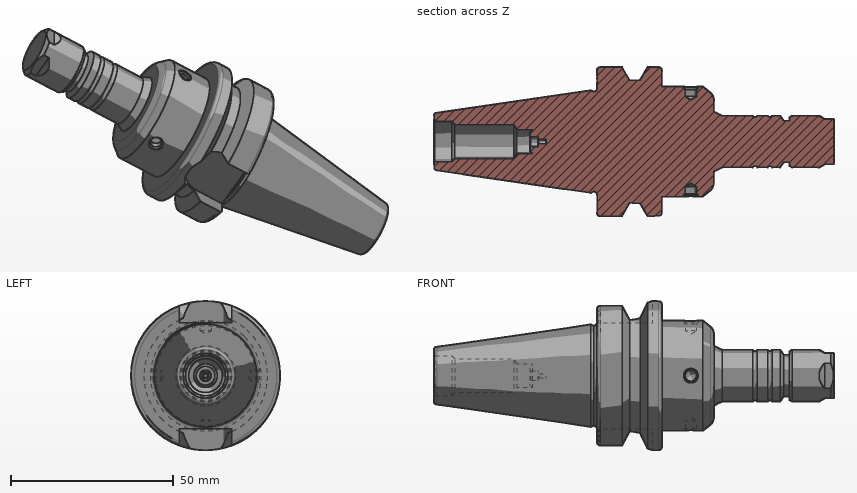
import cadquery as cq
import math

LENGTH = 123.4

TAPER_LENGTH = 48.4
TAPER_LARGE_RADIUS = 31.7 / 2
TAPER_RATE = 7 / 48
TAPER_SMALL_RADIUS = TAPER_LARGE_RADIUS - TAPER_RATE * TAPER_LENGTH
TAPER_END_ROUND = 0.9
TAPER_END_ARC_RADIUS = 1.0
RELIEF_START = 49.2
RELIEF_RADIUS = 15.4
RELIEF_FILLET = 0.9

FLANGE_START = 50.2
FLANGE_END = 70.3
FLANGE_RADIUS = 46.0 / 2
FLANGE_ROUND = 1.1
GROOVE_CENTER = 62.0
GROOVE_FLOOR_WIDTH = 3.2
GROOVE_FLOOR_RADIUS = 19.0
GROOVE_FLARE = (FLANGE_RADIUS - GROOVE_FLOOR_RADIUS) * math.tan(math.radians(30))

SLOT_COUNT = 2
SLOT_WIDTH = 16.2
SLOT_END = 67.4
SLOT_FLOOR = 16.3

BODY_RADIUS = 17.0
BODY_END = 86.4
BODY_CONE_START = 82.9
BODY_CONE_LENGTH = 2.2
BODY_CONE_ANGLE = math.radians(39)

SCREW_HOLE_X = 79.2
SCREW_HOLE_COUNT = 4
SCREW_HOLE_DIAMETER = 3.5
SCREW_HOLE_MOUTH = 4.5
SCREW_MOUTH_DEPTH = 0.5
SCREW_HOLE_DEPTH = 3.1
DRILL_POINT_SLOPE = math.tan(math.radians(31))

SHANK_RADIUS = 8.0
SHANK_CONE_RADIUS = 9.3
SHANK_CONE_END = 88.8
SHANK_END = 106.7
RING_GROOVES = ((98.2, 99.7), (102.9, 104.3))
RING_GROOVE_DEPTH = 0.4

RECESS_RADIUS = 13.0 / 2
RECESS_START = 107.9
RECESS_END = 109.6

NUT_EDGE_RADIUS = 7.5
NUT_START = 110.5
NUT_CHAMFER_LENGTH = 1.1
NUT_FACE_RADIUS = 6.8
FLAT_COUNT = 4
FLAT_DISTANCE = 7.0
FLAT_START = 120.5
FLAT_RUNOUT = 1.7

MOUTH_RADIUS = 6.9
LEAD_RADIUS = 6.2
MOUTH_CHAMFER_DEPTH = 0.4
LEAD_DEPTH = 5.5
THREAD_RADIUS = 10.4 / 2
THREAD_DEPTH = 24.7
CORE_RADIUS = 7.3 / 2
PLUG_DEPTH = 29.6
PLUG_FACE_RADIUS = 5.8 / 2
SOCKET_MOUTH_RADIUS = 3.5 / 2
SOCKET_RADIUS = 3.0 / 2
SOCKET_DEPTH = 2.5
PILOT_MOUTH_RADIUS = 1.7 / 2
PILOT_RADIUS = 1.2 / 2
PILOT_DEPTH = 4.9


def revolve_about_x(profile):
    return profile.close().revolve(360, (0, 0, 0), (1, 0, 0))


def turned_body():
    taper_round_radius = TAPER_SMALL_RADIUS + TAPER_RATE * TAPER_END_ROUND
    groove_floor_start = GROOVE_CENTER - GROOVE_FLOOR_WIDTH / 2
    groove_floor_end = GROOVE_CENTER + GROOVE_FLOOR_WIDTH / 2
    body_cone_end = BODY_CONE_START + BODY_CONE_LENGTH
    body_cone_radius = BODY_RADIUS - BODY_CONE_LENGTH * math.tan(BODY_CONE_ANGLE)
    body_round = (BODY_END - body_cone_end) / (1 - math.sin(BODY_CONE_ANGLE))
    body_face_radius = body_cone_radius - body_round * math.cos(BODY_CONE_ANGLE)

    profile = (
        cq.Workplane("XY")
        .moveTo(0, 0)
        .lineTo(0, TAPER_SMALL_RADIUS - TAPER_END_ROUND)
        .radiusArc((TAPER_END_ROUND, taper_round_radius), TAPER_END_ARC_RADIUS)
        .lineTo(TAPER_LENGTH, TAPER_LARGE_RADIUS)
        .lineTo(RELIEF_START, RELIEF_RADIUS)
        .lineTo(FLANGE_START - RELIEF_FILLET, RELIEF_RADIUS)
        .radiusArc((FLANGE_START, RELIEF_RADIUS + RELIEF_FILLET), -RELIEF_FILLET)
        .lineTo(FLANGE_START, FLANGE_RADIUS - FLANGE_ROUND)
        .radiusArc((FLANGE_START + FLANGE_ROUND, FLANGE_RADIUS), FLANGE_ROUND)
        .lineTo(groove_floor_start - GROOVE_FLARE, FLANGE_RADIUS)
        .lineTo(groove_floor_start, GROOVE_FLOOR_RADIUS)
        .lineTo(groove_floor_end, GROOVE_FLOOR_RADIUS)
        .lineTo(groove_floor_end + GROOVE_FLARE, FLANGE_RADIUS)
        .lineTo(FLANGE_END - FLANGE_ROUND, FLANGE_RADIUS)
        .radiusArc((FLANGE_END, FLANGE_RADIUS - FLANGE_ROUND), FLANGE_ROUND)
        .lineTo(FLANGE_END, BODY_RADIUS)
        .lineTo(BODY_CONE_START, BODY_RADIUS)
        .lineTo(body_cone_end, body_cone_radius)
        .radiusArc((BODY_END, body_face_radius), body_round)
        .lineTo(BODY_END, SHANK_CONE_RADIUS)
        .lineTo(SHANK_CONE_END, SHANK_RADIUS)
    )
    for start, end in RING_GROOVES:
        profile = (
            profile.lineTo(start, SHANK_RADIUS)
            .threePointArc(((start + end) / 2, SHANK_RADIUS - RING_GROOVE_DEPTH), (end, SHANK_RADIUS))
        )
    profile = (
        profile.lineTo(SHANK_END, SHANK_RADIUS)
        .lineTo(RECESS_START, RECESS_RADIUS)
        .lineTo(RECESS_END, RECESS_RADIUS)
        .lineTo(RECESS_END, NUT_EDGE_RADIUS)
        .lineTo(NUT_START, SHANK_RADIUS)
        .lineTo(LENGTH - NUT_CHAMFER_LENGTH, SHANK_RADIUS)
        .lineTo(LENGTH, NUT_FACE_RADIUS)
        .lineTo(LENGTH, 0)
    )
    return revolve_about_x(profile)


def rear_bore():
    cone_end = THREAD_DEPTH + (THREAD_RADIUS - CORE_RADIUS) * DRILL_POINT_SLOPE
    socket_floor = PLUG_DEPTH + SOCKET_DEPTH
    profile = (
        cq.Workplane("XY")
        .moveTo(0, 0)
        .lineTo(0, MOUTH_RADIUS)
        .lineTo(MOUTH_CHAMFER_DEPTH, LEAD_RADIUS)
        .lineTo(LEAD_DEPTH, LEAD_RADIUS)
        .lineTo(LEAD_DEPTH + LEAD_RADIUS - THREAD_RADIUS, THREAD_RADIUS)
        .lineTo(THREAD_DEPTH, THREAD_RADIUS)
        .lineTo(cone_end, CORE_RADIUS)
        .lineTo(PLUG_DEPTH + CORE_RADIUS - PLUG_FACE_RADIUS, CORE_RADIUS)
        .lineTo(PLUG_DEPTH, PLUG_FACE_RADIUS)
        .lineTo(PLUG_DEPTH, SOCKET_MOUTH_RADIUS)
        .lineTo(PLUG_DEPTH + SOCKET_MOUTH_RADIUS - SOCKET_RADIUS, SOCKET_RADIUS)
        .lineTo(socket_floor, SOCKET_RADIUS)
        .lineTo(socket_floor, PILOT_MOUTH_RADIUS)
        .lineTo(socket_floor + PILOT_MOUTH_RADIUS - PILOT_RADIUS, PILOT_RADIUS)
        .lineTo(PLUG_DEPTH + PILOT_DEPTH, PILOT_RADIUS)
        .lineTo(PLUG_DEPTH + PILOT_DEPTH, 0)
    )
    return revolve_about_x(profile)


def drive_slot():
    straight_length = SLOT_END - SLOT_WIDTH / 2
    height = FLANGE_RADIUS - SLOT_FLOOR
    straight = (
        cq.Workplane("XY", origin=(0, 0, SLOT_FLOOR))
        .rect(straight_length, SLOT_WIDTH)
        .extrude(height)
        .translate((straight_length / 2, 0, 0))
    )
    rounded_end = (
        cq.Workplane("XY", origin=(straight_length, 0, SLOT_FLOOR)).circle(SLOT_WIDTH / 2).extrude(height)
    )
    return straight.union(rounded_end)


def screw_hole():
    """Countersunk blind hole with a drill point, entering the body from +Z."""
    radius = SCREW_HOLE_DIAMETER / 2
    mouth_radius = SCREW_HOLE_MOUTH / 2
    mouth_floor = BODY_RADIUS - SCREW_MOUTH_DEPTH
    floor = BODY_RADIUS - SCREW_HOLE_DEPTH
    return (
        cq.Workplane("XZ", origin=(SCREW_HOLE_X, 0, 0))
        .moveTo(0, BODY_RADIUS)
        .lineTo(mouth_radius, BODY_RADIUS)
        .lineTo(mouth_radius, mouth_floor)
        .lineTo(radius, mouth_floor - (mouth_radius - radius))
        .lineTo(radius, floor)
        .lineTo(0, floor - radius * DRILL_POINT_SLOPE)
        .close()
        .revolve(360, (0, 0, 0), (0, 1, 0))
    )


def wrench_flat():
    """Cutter for one flat on +Z, with a sloping run-out at its rear end."""
    return (
        cq.Workplane("XZ")
        .moveTo(FLAT_START, FLAT_DISTANCE)
        .lineTo(LENGTH, FLAT_DISTANCE)
        .lineTo(LENGTH, SHANK_RADIUS)
        .lineTo(FLAT_START - FLAT_RUNOUT, SHANK_RADIUS)
        .close()
        .extrude(SHANK_RADIUS, both=True)
    )


def cut_around_axis(part, cutter, count):
    for i in range(count):
        part = part.cut(cutter.rotate((0, 0, 0), (1, 0, 0), i * 360 / count))
    return part


result = turned_body().cut(rear_bore())
result = cut_around_axis(result, drive_slot(), SLOT_COUNT)
result = cut_around_axis(result, screw_hole(), SCREW_HOLE_COUNT)
result = cut_around_axis(result, wrench_flat(), FLAT_COUNT)